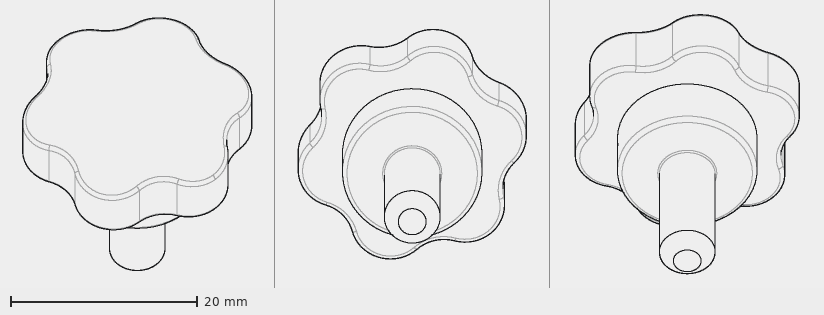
import cadquery as cq
import math

total_height = 29.0
collar_bottom = 15.0
head_bottom = 21.0

stud_diameter = 6.0
stud_chamfer = 1.5
stud_root_fillet = 0.17
collar_diameter = 15.0

lobe_count = 6
lobe_radius = 4.248
head_radius = 12.5
dome_radius = 40.02
edge_fillet = 0.5

lobe_angle = 2 * math.pi / lobe_count
lobe_center_radius = head_radius - lobe_radius

half_lobe_spacing = lobe_center_radius * math.sin(lobe_angle / 2)
valley_center_radius = (
    lobe_center_radius * math.cos(lobe_angle / 2)
    + math.sqrt((2 * lobe_radius) ** 2 - half_lobe_spacing**2)
)
valley_floor_radius = valley_center_radius - lobe_radius


def polar(radius, angle):
    return (radius * math.cos(angle), radius * math.sin(angle))


def tangent_point(lobe_direction, valley_direction):
    """Midpoint between the centers of two touching arcs of equal radius."""
    lobe_x, lobe_y = polar(lobe_center_radius, lobe_direction)
    valley_x, valley_y = polar(valley_center_radius, valley_direction)
    return ((lobe_x + valley_x) / 2, (lobe_y + valley_y) / 2)


def make_head():
    outline = cq.Workplane("XY").workplane(offset=head_bottom)
    outline = outline.moveTo(*tangent_point(0, -lobe_angle / 2))
    for i in range(lobe_count):
        lobe = i * lobe_angle
        valley = lobe + lobe_angle / 2
        outline = outline.threePointArc(polar(head_radius, lobe), tangent_point(lobe, valley))
        outline = outline.threePointArc(
            polar(valley_floor_radius, valley), tangent_point(lobe + lobe_angle, valley)
        )
    prism = outline.close().extrude(total_height - head_bottom)

    dome = cq.Workplane("XY").sphere(dome_radius).translate((0, 0, total_height - dome_radius))
    head = prism.intersect(dome)
    return head.faces("<Z or >Z").edges().fillet(edge_fillet)


def make_collar():
    collar = cq.Workplane("XY").workplane(offset=collar_bottom).circle(collar_diameter / 2)
    collar = collar.extrude(head_bottom - collar_bottom)
    return collar.faces("<Z").edges().fillet(edge_fillet)


def make_stud():
    stud = cq.Workplane("XY").circle(stud_diameter / 2).extrude(collar_bottom)
    return stud.faces("<Z").edges().chamfer(stud_chamfer)


def make_stem():
    """Collar and stud, joined by a small concave fillet at the root of the stud."""
    stem = make_collar().union(make_stud())
    root_zone = cq.selectors.BoxSelector(
        (-stud_diameter, -stud_diameter, collar_bottom - stud_root_fillet),
        (stud_diameter, stud_diameter, collar_bottom + stud_root_fillet),
        boundingbox=True,
    )
    return stem.edges(root_zone).fillet(stud_root_fillet)


result = make_head().union(make_stem())